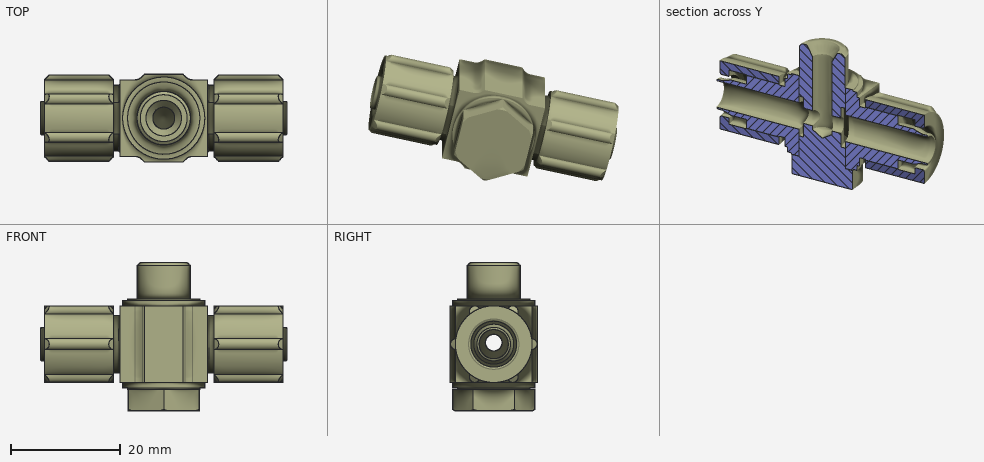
import cadquery as cq
import math


block_side = 16.0
block_height = 14.0
pad_half_width = 3.5
pad_bevel = 0.4
pad_blend_radius = 2.0
bolt_bore_dia = 9.8

seal_dia = 15.0
seal_height = 1.0
lip_dia = 13.2
lip_height = 0.25

run_length = 45.0
collar_dia = 12.0
collar_flats = 10.55
collar_fillet = 0.25
spigot_dia = 10.95
spigot_end = 16.2
barb_dia = 7.3
cone_length = 1.8
nozzle_dia = 6.1
nozzle_length = 1.25
nozzle_fillet = 0.3
branch_bore_dia = 5.3

nut_inner_end = 9.15
nut_outer_end = 21.8
nut_dia = block_height
nut_hole_dia = 8.35
nut_hole_fillet = 0.4
nut_hole_depth = 2.02
rib_count = 6
rib_radius = 1.0
rib_height = 0.9

shank_dia = 9.7
bolt_length = 27.1
shank_chamfer = 0.6
neck_dia = 8.0
neck_height = 8.0
head_flats = 13.0
head_height = 3.9
head_chamfer_radial = 0.45
head_chamfer_angle = 30.0
axial_bore_dia = 4.0
axial_bore_floor = -2.02
drill_point_angle = 118.0
countersink_dia = 6.5
countersink_angle = 60.0
cross_hole_dia = 3.0
cross_hole_z = 0.25

seal_top = block_height / 2 + seal_height
lip_top = seal_top + lip_height
head_bottom = -lip_top - head_height
bolt_top = head_bottom + bolt_length
head_corners = head_flats / math.cos(math.radians(30))


def x_cylinder(diameter, x_start, x_end):
    return cq.Workplane("YZ", origin=(x_start, 0, 0)).circle(diameter / 2).extrude(x_end - x_start)


def z_cylinder(diameter, z_start, z_end):
    return cq.Workplane("XY", origin=(0, 0, z_start)).circle(diameter / 2).extrude(z_end - z_start)


def revolve_about_x(points):
    """Revolve a closed outline of (x, radius) points about the run axis."""
    return cq.Workplane("XY").polyline(points).close().revolve(360, (0, 0, 0), (1, 0, 0))


def revolve_about_z(points):
    """Revolve a closed outline of (radius, z) points about the bolt axis."""
    return cq.Workplane("XZ").polyline(points).close().revolve(360, (0, 0, 0), (0, 1, 0))


def mirror_to_left(body):
    return body.mirror("YZ")


def make_pads():
    """Front and back pads, joined through the block: bevelled, then blended into the block side."""
    side_y = block_height / 2
    pad_y = block_side / 2
    bevel_x = pad_half_width + pad_bevel
    bevel_y = pad_y - pad_bevel
    blend_x = bevel_x + pad_blend_radius * math.sin(math.radians(45))
    mid_angle = math.radians(22.5)
    mid_x = blend_x - pad_blend_radius * math.sin(mid_angle)
    mid_y = side_y + pad_blend_radius * (1 - math.cos(mid_angle))
    back_pad = (
        cq.Workplane("XY", origin=(0, 0, -block_height / 2))
        .moveTo(-blend_x, 0)
        .lineTo(-blend_x, side_y)
        .threePointArc((-mid_x, mid_y), (-bevel_x, bevel_y))
        .lineTo(-pad_half_width, pad_y)
        .lineTo(pad_half_width, pad_y)
        .lineTo(bevel_x, bevel_y)
        .threePointArc((mid_x, mid_y), (blend_x, side_y))
        .lineTo(blend_x, 0)
        .close()
        .extrude(block_height)
    )
    return back_pad.union(back_pad.mirror("XZ"))


def make_collar():
    """Collar with top and bottom wrench flats, flared by a fillet where it meets the block."""
    face_x = block_side / 2
    radius = collar_dia / 2
    flare_radius = radius + collar_fillet
    flare_x = face_x + collar_fillet
    mid_offset = collar_fillet * math.sin(math.radians(45))
    collar = (
        cq.Workplane("XY")
        .moveTo(0, 0)
        .lineTo(0, flare_radius)
        .lineTo(face_x, flare_radius)
        .threePointArc((flare_x - mid_offset, flare_radius - mid_offset), (flare_x, radius))
        .lineTo(nut_inner_end, radius)
        .lineTo(nut_inner_end, 0)
        .close()
        .revolve(360, (0, 0, 0), (1, 0, 0))
    )
    return collar.intersect(cq.Workplane("XY").box(run_length, block_side, collar_flats))


def make_branch():
    """Right-hand branch: collar, spigot, tapered barb and rounded nozzle tip."""
    tip_x = run_length / 2
    cone_start = tip_x - nozzle_length
    barb = revolve_about_x([
        (0, 0),
        (0, collar_flats / 2),
        (nut_inner_end, collar_flats / 2),
        (nut_inner_end, spigot_dia / 2),
        (spigot_end, spigot_dia / 2),
        (spigot_end, barb_dia / 2),
        (cone_start - cone_length, barb_dia / 2),
        (cone_start, nozzle_dia / 2),
        (tip_x, nozzle_dia / 2),
        (tip_x, 0),
    ])
    barb = barb.faces(">X").edges().fillet(nozzle_fillet)
    return barb.union(make_collar())


def make_housing():
    branch = make_branch()
    housing = (
        cq.Workplane("XY").box(block_side, block_height, block_height)
        .union(make_pads())
        .union(z_cylinder(seal_dia, -seal_top, seal_top))
        .union(z_cylinder(lip_dia, -lip_top, lip_top))
        .union(branch)
        .union(mirror_to_left(branch))
    )
    return (
        housing
        .cut(x_cylinder(branch_bore_dia, -run_length / 2, run_length / 2))
        .cut(z_cylinder(bolt_bore_dia, -lip_top, lip_top))
    )


def make_nut():
    """Right-hand union nut: a sleeve with six grip ribs bevelled at both ends."""
    radius = nut_dia / 2
    crest = radius + rib_height
    rib_limits = revolve_about_x([
        (nut_inner_end, 0),
        (nut_inner_end, radius),
        (nut_inner_end + rib_height, crest),
        (nut_outer_end - rib_height, crest),
        (nut_outer_end, radius),
        (nut_outer_end, 0),
    ])
    ribs = (
        cq.Workplane("YZ", origin=(nut_inner_end, 0, 0))
        .polarArray(crest - rib_radius, 0, 360, rib_count)
        .circle(rib_radius)
        .extrude(nut_outer_end - nut_inner_end)
        .intersect(rib_limits)
    )
    nut = (
        x_cylinder(nut_dia, nut_inner_end, nut_outer_end)
        .cut(x_cylinder(nut_hole_dia, nut_inner_end, nut_outer_end))
    )
    hole_rim = nut.faces(">X").edges(cq.selectors.RadiusNthSelector(0))
    return (
        hole_rim.fillet(nut_hole_fillet)
        .union(ribs)
        .cut(x_cylinder(spigot_dia, nut_inner_end, nut_outer_end - nut_hole_depth))
    )


def make_bolt_head():
    """Hexagon with corners on the Y axis and a conical chamfer around its underside."""
    corner_radius = head_corners / 2
    chamfer_rise = head_chamfer_radial * math.tan(math.radians(head_chamfer_angle))
    hexagon = (
        cq.Workplane("XY", origin=(0, 0, head_bottom))
        .polygon(6, head_corners)
        .extrude(head_height)
        .rotate((0, 0, 0), (0, 0, 1), 90)
    )
    chamfer_limits = revolve_about_z([
        (0, head_bottom),
        (corner_radius - head_chamfer_radial, head_bottom),
        (corner_radius, head_bottom + chamfer_rise),
        (corner_radius, -lip_top),
        (0, -lip_top),
    ])
    return hexagon.intersect(chamfer_limits)


def make_bolt():
    bore_radius = axial_bore_dia / 2
    sink_radius = countersink_dia / 2
    point_depth = bore_radius / math.tan(math.radians(drill_point_angle / 2))
    sink_depth = (sink_radius - bore_radius) / math.tan(math.radians(countersink_angle / 2))
    axial_bore = revolve_about_z([
        (0, axial_bore_floor - point_depth),
        (bore_radius, axial_bore_floor),
        (bore_radius, bolt_top - sink_depth),
        (sink_radius, bolt_top),
        (0, bolt_top),
    ])
    shank = z_cylinder(shank_dia, -lip_top, bolt_top).faces(">Z").chamfer(shank_chamfer)
    cross_hole = x_cylinder(cross_hole_dia, -shank_dia, shank_dia).translate((0, 0, cross_hole_z))
    neck = z_cylinder(neck_dia, -neck_height / 2, neck_height / 2)
    waist = z_cylinder(shank_dia, -neck_height / 2, neck_height / 2).cut(neck)
    return shank.union(make_bolt_head()).cut(waist).cut(axial_bore).cut(cross_hole)


housing = make_housing()
right_nut = make_nut()
nuts = [right_nut, mirror_to_left(right_nut)]
banjo_bolt = make_bolt()

result = cq.Compound.makeCompound([
    housing.val(),
    *[nut.val() for nut in nuts],
    banjo_bolt.val(),
])